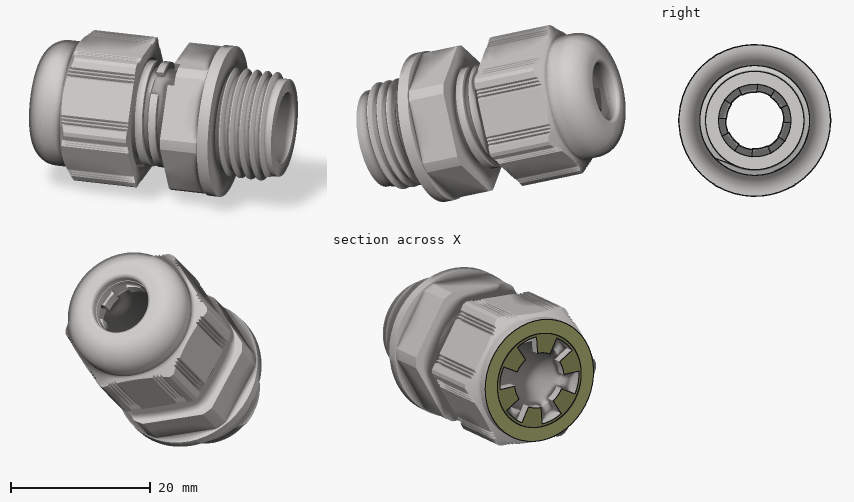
import cadquery as cq
import math


length = 36.25
dome_end = 3.25
nut_shoulder = 5.25
nut_end = 15.77
body_hex_start = 20.77
body_hex_end = 26.2
gasket_start = 26.3
gasket_end = 27.9
nut_wall_end = 1.55
seal_end = 2.72
claw_start = 3.5
pad_end = 5.35
neck_start = 6.52

nut_across_flats = 19.15
nut_across_corners = 21.75
dome_dia = 18.05
dome_face_dia = 11.25
nut_bore = 8.45
nut_mouth_radius = 0.55
pocket_dia = 13.8
nut_thread_bore = 15.88
nut_chamfer_slope = 1.5
groove_count = 3
groove_pitch = 0.5
groove_depth = 0.35
groove_offset = 3.48

body_across_flats = 19.15
body_across_corners = 21.25
corner_sides = 120
body_bore = 10.35
neck_dia = 13.25
neck_thread_dia = 15.15
neck_thread_pitch = 2.0
neck_thread_width = 1.05
neck_thread_end = 20.2
neck_thread_turns = 3
shank_dia = 14.05
shank_thread_dia = 15.7
shank_first_crest = 28.45
shank_last_crest = 34.47
shank_crest_count = 5
shank_thread_pitch = (shank_last_crest - shank_first_crest) / (shank_crest_count - 1)
shank_thread_root_width = 1.15
shank_thread_crest_width = 0.1
neck_runout_start = 19.2
neck_runout_angle = 50
neck_runout_offset = 0.95
shank_runout_start = 34.25
shank_runout_angle = 250
shank_runout_width = 7.25
notch_angle = 120
notch_width = 3.9
notch_floor = 6.3
notch_start = 17.58
notch_end = 21.75

gasket_dia = 21.7
seal_bore = 8.3
claw_bore = 8.1
claw_ring_bore = 13.05
claw_count = 6
claw_first_gap = 11
claw_gap_angle = 29

thread_top = 90
thread_overlap = 0.1


def cylinder(dia, start, end):
    return cq.Workplane("YZ", origin=(start, 0, 0)).circle(dia / 2).extrude(end - start)


def tube(dia, bore, start, end):
    return cylinder(dia, start, end).cut(cylinder(bore, start, end))


def prism(sides, across_flats, start, end):
    """Regular polygonal bar with two corners on the Y axis."""
    corner_dia = across_flats / math.cos(math.pi / sides)
    return cq.Workplane("YZ", origin=(start, 0, 0)).polygon(sides, corner_dia).extrude(end - start)


def turn(shape, angle):
    """Turn about X; positive angles go from +Y toward +Z."""
    return shape.rotate((0, 0, 0), (1, 0, 0), angle)


def thread(core_dia, outer_dia, pitch, root_width, crest_width, start, start_angle, turns):
    """Right-handed ridge; start and start_angle place the middle of its first section."""
    core = core_dia / 2 - thread_overlap
    crest = outer_dia / 2
    path = cq.Wire.makeHelix(pitch, pitch * turns, core)
    ridge = (
        cq.Workplane("XZ")
        .polyline([
            (core, -root_width / 2),
            (crest, -crest_width / 2),
            (crest, crest_width / 2),
            (core, root_width / 2),
        ])
        .close()
        .sweep(cq.Workplane(path), isFrenet=True)
    )
    along_x = ridge.rotate((0, 0, 0), (1, 1, 1), 120)
    return turn(along_x, start_angle).translate((start, 0, 0))


def nut_grooves():
    """V grooves along the nut, in two groups on every flat."""
    flat = nut_across_flats / 2
    grooves = cq.Workplane("YZ", origin=(nut_shoulder, 0, 0))
    for side in (-1, 1):
        for i in range(groove_count):
            middle = side * groove_offset + (i - (groove_count - 1) / 2) * groove_pitch
            grooves = grooves.moveTo(middle - groove_pitch / 2, flat)
            grooves = grooves.lineTo(middle, flat - groove_depth)
            grooves = grooves.lineTo(middle + groove_pitch / 2, flat).close()
    one_flat = grooves.extrude(nut_end - nut_shoulder)
    return [turn(one_flat, 60 * k) for k in range(6)]


def cap_nut():
    grip = prism(6, nut_across_flats, nut_shoulder, nut_end)
    grip = grip.intersect(turn(prism(6, nut_across_corners, nut_shoulder, nut_end), 30))
    for grooves in nut_grooves():
        grip = grip.cut(grooves)

    cone_rise = nut_across_corners / 2
    cone = (
        cq.Workplane("XY")
        .moveTo(nut_shoulder, 0)
        .lineTo(nut_shoulder, dome_dia / 2)
        .lineTo(nut_shoulder + cone_rise / nut_chamfer_slope, dome_dia / 2 + cone_rise)
        .lineTo(nut_end, dome_dia / 2 + cone_rise)
        .lineTo(nut_end, 0)
        .close()
        .revolve(360, (0, 0, 0), (1, 0, 0))
    )
    grip = grip.intersect(cone)

    dome_drop = (dome_dia - dome_face_dia) / 2
    dome = (
        cq.Workplane("XY")
        .lineTo(0, dome_face_dia / 2)
        .threePointArc(
            (dome_end * (1 - math.sqrt(0.5)), dome_face_dia / 2 + dome_drop * math.sqrt(0.5)),
            (dome_end, dome_dia / 2),
        )
        .lineTo(nut_shoulder, dome_dia / 2)
        .lineTo(nut_shoulder, 0)
        .close()
        .revolve(360, (0, 0, 0), (1, 0, 0))
    )
    mouth = cq.selectors.RadiusNthSelector(0)
    dome = dome.cut(cylinder(nut_bore, 0, nut_shoulder))
    dome = dome.faces("<X").edges(mouth).fillet(nut_mouth_radius)
    nut = dome.union(grip)
    nut = nut.cut(cylinder(nut_bore, nut_wall_end, nut_end))
    nut = nut.cut(cylinder(pocket_dia, nut_wall_end, neck_start))
    return nut.cut(cylinder(nut_thread_bore, neck_start, nut_end))


def radial_cutter(start, end, width, floor, angle):
    """Box that removes everything beyond a flat floor in the given direction."""
    height = nut_across_corners
    box = cq.Workplane("XY").box(end - start, height, width, centered=(False, False, True))
    return turn(box.translate((start, floor, 0)), angle)


def neck_runout():
    """Cutter outside an eccentric circle, which makes the last stretch of the neck thread sink."""
    block = radial_cutter(neck_runout_start, body_hex_start, 2 * neck_thread_dia, 0, thread_top)
    kept = cylinder(neck_thread_dia, neck_runout_start, body_hex_start)
    kept = turn(kept.translate((0, neck_runout_offset, 0)), neck_runout_angle - thread_top)
    return block.cut(kept)


def neck_thread():
    ridge = thread(
        neck_dia, neck_thread_dia, neck_thread_pitch, neck_thread_width, neck_thread_width,
        neck_thread_end - neck_thread_turns * neck_thread_pitch, thread_top, neck_thread_turns,
    )
    return ridge.cut(neck_runout())


def shank_thread():
    turns = shank_crest_count + (shank_runout_angle - thread_top) / 360
    ridge = thread(
        shank_dia, shank_thread_dia, shank_thread_pitch,
        shank_thread_root_width, shank_thread_crest_width,
        shank_first_crest - shank_thread_pitch, thread_top, turns,
    )
    ridge = ridge.cut(radial_cutter(
        shank_runout_start, length, shank_runout_width, shank_dia / 2, shank_runout_angle,
    ))
    return ridge.intersect(cylinder(gasket_dia, gasket_end, length))


def notch():
    """Flat-floored recess across the neck thread and one corner of the body's hexagon."""
    return radial_cutter(notch_start, notch_end, notch_width, notch_floor, notch_angle)


def gland_body():
    grip = prism(6, body_across_flats, body_hex_start, body_hex_end)
    corner_cut = prism(corner_sides, body_across_corners, body_hex_start, body_hex_end)
    grip = grip.intersect(turn(corner_cut, 180 / corner_sides))
    body = cylinder(neck_dia, neck_start, body_hex_start).union(neck_thread()).union(grip)
    body = body.cut(notch())
    body = body.union(cylinder(shank_dia, body_hex_end, length)).union(shank_thread())
    return body.cut(cylinder(body_bore, neck_start, length))


def claw_ring():
    """Closed ring with clamping pads that reach inward at its front."""
    ring = tube(pocket_dia, claw_ring_bore, claw_start, neck_start)
    pads = tube(pocket_dia, claw_bore, claw_start, pad_end)
    reach = pocket_dia
    half_gap = reach * math.tan(math.radians(claw_gap_angle / 2))
    gap = (
        cq.Workplane("YZ", origin=(claw_start, 0, 0))
        .polyline([(0, 0), (reach, -half_gap), (reach, half_gap)])
        .close()
        .extrude(pad_end - claw_start)
    )
    for i in range(claw_count):
        pads = pads.cut(turn(gap, claw_first_gap + i * 360 / claw_count))
    return ring.union(pads)


nut = cap_nut()
body = gland_body()
gasket = tube(gasket_dia, shank_dia, gasket_start, gasket_end)
seal = tube(pocket_dia, seal_bore, nut_wall_end, seal_end)
claws = claw_ring()

parts = [nut, body, gasket, seal, claws]
result = cq.Compound.makeCompound([part.solids().val() for part in parts])